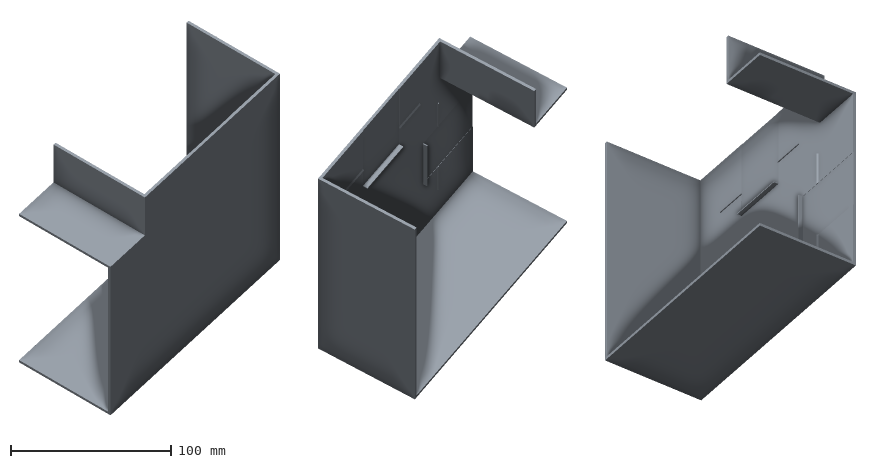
import cadquery as cq

side = 170.0
depth = 73.0
wall = 2.0
notch = 34.5

seat_center = 67.5
seat_length = 56.0
seat_end_width = 41.0
seat_lip_width = 40.3
seat_recess = 0.2
lip_thickness = 0.7
lip_height = 3.2

rib_span = 86.2
rib_width = 1.4
rib_height = 0.7
rib_inset = 38.6

half = side / 2
floor_x = depth / 2 - wall
embed = wall / 2


def floor_block(center_y, center_z, width, length, height):
    """Rectangular block standing on the floor."""
    return (
        cq.Workplane("YZ", origin=(floor_x - height, center_y, center_z))
        .rect(width, length)
        .extrude(height + embed)
    )


def make_shell():
    outline = [
        (half, -half),
        (half, half),
        (notch - half, half),
        (notch - half, half - notch),
        (-half, half - notch),
        (-half, -half),
    ]
    body = (
        cq.Workplane("YZ", origin=(-depth / 2, 0, 0))
        .polyline(outline)
        .close()
        .extrude(depth)
    )
    inner_corner = notch - half + wall
    cavity_outline = [
        (half - wall, wall - half),
        (half - wall, half),
        (inner_corner, half),
        (inner_corner, -inner_corner),
        (-half, -inner_corner),
        (-half, wall - half),
    ]
    cavity = (
        cq.Workplane("YZ", origin=(-depth / 2, 0, 0))
        .polyline(cavity_outline)
        .close()
        .extrude(depth - wall)
    )
    return body.cut(cavity)


def make_top_recess():
    """Shallow tapered recess in the floor at the +Z open end."""
    y = half - seat_center
    lip_z = half - seat_length
    return (
        cq.Workplane("YZ", origin=(floor_x, 0, 0))
        .polyline(
            [
                (y - seat_end_width / 2, half),
                (y + seat_end_width / 2, half),
                (y + seat_lip_width / 2, lip_z),
                (y - seat_lip_width / 2, lip_z),
            ]
        )
        .close()
        .extrude(seat_recess)
    )


def make_top_clip():
    """Lip closing the recess and the two ribs beside it."""
    y = half - seat_center
    lip_z = half - seat_length + lip_thickness / 2
    clip = floor_block(y, lip_z, seat_lip_width, lip_thickness, lip_height)
    rib_length = (rib_span - seat_lip_width) / 2
    rib_top = half - rib_inset + rib_width / 2
    rib_bottom = rib_top - rib_width
    for direction in (-1, 1):
        rib_y = y + direction * (rib_span - rib_length) / 2
        rib = (
            cq.Workplane("XZ", origin=(0, rib_y, 0))
            .polyline(
                [
                    (floor_x + embed, rib_top),
                    (floor_x, rib_top),
                    (floor_x - rib_height, rib_bottom),
                    (floor_x + embed, rib_bottom),
                ]
            )
            .close()
            .extrude(rib_length / 2, both=True)
        )
        clip = clip.union(rib)
    return clip


def copy_to_front(shape):
    """Swap the two open ends: half a turn about the Y = -Z diagonal, then a mirror in X."""
    return shape.rotate((0, 0, 0), (0, 1, -1), 180).mirror("YZ")


top_recess = make_top_recess()
top_clip = make_top_clip()

result = make_shell().cut(top_recess).cut(copy_to_front(top_recess))
result = result.union(top_clip).union(copy_to_front(top_clip))